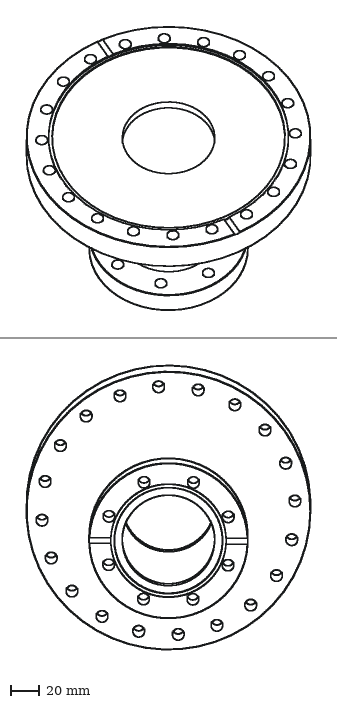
import cadquery as cq
import math

total_height = 127.0
edge_chamfer = 0.5

large_diameter = 203.0
large_thickness = 22.1
large_recess_diameter = 171.3
large_bolt_circle = 181.0
large_bolt_count = 20

small_diameter = 113.5
small_thickness = 17.5
small_recess_diameter = 82.5
small_bolt_circle = 92.2
small_bolt_count = 8
small_groove_angle = 31.7

bolt_hole_diameter = 8.3
bore_diameter = 66.0
socket_diameter = 70.2
socket_floor = 8.0
knife_width = 2.5
knife_tip_depth = 0.6
knife_slope = 20.0
knife_root_depth = knife_tip_depth + knife_width * math.tan(math.radians(knife_slope))
inner_face_depth = 1.2
knife_back_taper = 0.3
groove_width = 4.3
groove_depth = 0.8

tube_outer_diameter = 70.0


def make_body(diameter, thickness, recess_diameter):
    """Revolve a flange with its sealing side at Z = 0 and its back at Z = -thickness."""
    outer = diameter / 2
    bore = bore_diameter / 2
    socket = socket_diameter / 2
    recess = recess_diameter / 2
    knife = recess - knife_width
    profile = [
        (bore, -inner_face_depth),
        (knife - knife_back_taper, -inner_face_depth),
        (knife, -knife_tip_depth),
        (recess, -knife_root_depth),
        (recess, 0),
        (outer - edge_chamfer, 0),
        (outer, -edge_chamfer),
        (outer, edge_chamfer - thickness),
        (outer - edge_chamfer, -thickness),
        (socket, -thickness),
        (socket, -socket_floor),
        (bore, -socket_floor),
    ]
    return cq.Workplane("XZ").polyline(profile).close().revolve(360, (0, 0, 0), (0, 1, 0))


def make_bolt_holes(bolt_circle, count, thickness):
    """Evenly spaced drills, the first one half a pitch away from +X."""
    return (
        cq.Workplane("XY")
        .polarArray(bolt_circle / 2, 180 / count, 360, count)
        .circle(bolt_hole_diameter / 2)
        .extrude(-thickness)
    )


def make_leak_grooves(diameter, recess_diameter):
    """Two opposite round-bottomed grooves along X, from the recess to the rim."""
    radius = ((groove_width / 2) ** 2 + groove_depth**2) / (2 * groove_depth)
    bar = (
        cq.Workplane("YZ", origin=(-diameter / 2, 0, 0))
        .center(0, radius - groove_depth)
        .circle(radius)
        .extrude(diameter)
    )
    recess_core = cq.Workplane("XY").circle(recess_diameter / 2).extrude(4 * radius, both=True)
    return bar.cut(recess_core)


def make_flange(diameter, thickness, recess_diameter, bolt_circle, bolt_count):
    body = make_body(diameter, thickness, recess_diameter)
    body = body.cut(make_bolt_holes(bolt_circle, bolt_count, thickness))
    return body.cut(make_leak_grooves(diameter, recess_diameter))


def make_tube():
    return (
        cq.Workplane("XY", origin=(0, 0, socket_floor))
        .circle(tube_outer_diameter / 2)
        .circle(bore_diameter / 2)
        .extrude(total_height - 2 * socket_floor)
    )


large_flange = make_flange(
    large_diameter, large_thickness, large_recess_diameter, large_bolt_circle, large_bolt_count
).translate((0, 0, total_height))

small_flange = (
    make_flange(
        small_diameter, small_thickness, small_recess_diameter, small_bolt_circle, small_bolt_count
    )
    .rotate((0, 0, 0), (1, 0, 0), 180)
    .rotate((0, 0, 0), (0, 0, 1), small_groove_angle)
)

tube = make_tube()

result = cq.Compound.makeCompound([large_flange.val(), small_flange.val(), tube.val()])